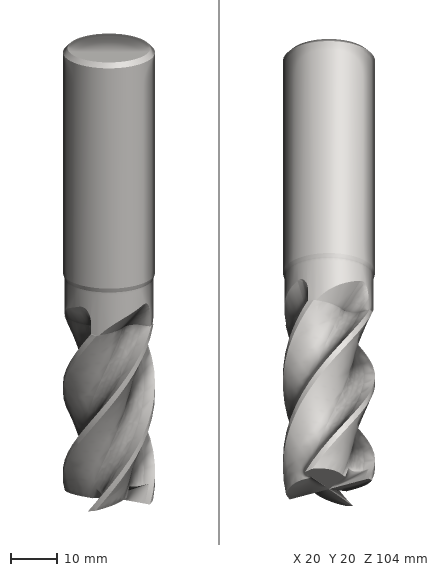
import cadquery as cq
import math

total_length = 104.0
cutter_length = 41.0
neck_top = 51.0
shank_bottom = 52.0

tool_radius = 10.0
neck_radius = 9.7
shank_chamfer = 1.0

flute_count = 4
pitch_angle = 360.0 / flute_count
first_edge_angle = -90.0
land_angle = 8.5
rake_foot_radius = 7.6
floor_end_radius = 5.5
floor_end_angle = 31.0

helix_angle = 38.0
lead = 2 * math.pi * tool_radius / math.tan(math.radians(helix_angle))
total_twist = 360.0 * cutter_length / lead

runout_height = 10.0
runout_angle = helix_angle

end_relief_angle = 13.0
gash_radius = 8.7
gash_slope = 28.0
gash_opening = 22.0
gash_rake = math.degrees(math.atan(2 * math.pi * gash_radius / lead))

clear_reach = 2 * tool_radius


def tangent(angle):
    return math.tan(math.radians(angle))


def polar(radius, angle):
    """Point at a radius and an angle in degrees."""
    return radius * math.cos(math.radians(angle)), radius * math.sin(math.radians(angle))


def edge_angles(start):
    """Angles of all the cutting edges, counted clockwise from the first one."""
    return [start - i * pitch_angle for i in range(flute_count)]


def draw_flute(outline, edge_angle):
    """From a cutting edge: radial rake face, hollow floor and convex clearance, ending at the next land."""
    rake_foot = polar(rake_foot_radius, edge_angle)
    floor_end = polar(floor_end_radius, edge_angle - floor_end_angle)
    land_end = polar(tool_radius, edge_angle - pitch_angle + land_angle)
    return (
        outline.lineTo(*rake_foot)
        .tangentArcPoint(floor_end, relative=False)
        .tangentArcPoint(land_end, relative=False)
    )


def make_end_relief(edge_angle):
    """Wedge under one quarter of the end face, rising away from the cutting edge."""
    return (
        cq.Workplane("YZ")
        .polyline([(0, 0), (clear_reach, 0), (clear_reach, clear_reach * tangent(end_relief_angle))])
        .close()
        .extrude(clear_reach)
        .rotate((0, 0, 0), (0, 0, 1), edge_angle)
    )


def make_gash(edge_angle):
    """Wedge opening out along the end cutting edge: flat rake wall, floor rising outwards."""
    return (
        cq.Workplane("XY")
        .polyline([(0, 0), (clear_reach, 0), (clear_reach, -clear_reach * tangent(gash_opening))])
        .close()
        .extrude(-clear_reach)
        .rotate((0, 0, 0), (0, 1, 0), -gash_slope)
        .rotate((0, 0, 0), (1, 0, 0), -gash_rake)
        .rotate((0, 0, 0), (0, 0, 1), edge_angle)
    )


def make_cutter():
    """Twisted four-flute cutter with relieved and gashed end teeth."""
    outline = cq.Workplane("XY").moveTo(*polar(tool_radius, first_edge_angle))
    for edge_angle in edge_angles(first_edge_angle):
        next_edge_angle = edge_angle - pitch_angle
        land_middle = polar(tool_radius, next_edge_angle + land_angle / 2)
        next_edge = polar(tool_radius, next_edge_angle)
        outline = draw_flute(outline, edge_angle).threePointArc(land_middle, next_edge)
    body = outline.close().twistExtrude(cutter_length, total_twist)
    for edge_angle in edge_angles(first_edge_angle):
        body = body.cut(make_end_relief(edge_angle))
        body = body.cut(make_gash(edge_angle))
    return body


def make_runout(edge_angle):
    """Flute section at the top of the cutter, carried in a straight line up and outwards."""
    outline = cq.Workplane("XY").moveTo(*polar(tool_radius, edge_angle))
    outline = (
        draw_flute(outline, edge_angle)
        .lineTo(*polar(clear_reach, edge_angle - pitch_angle + land_angle))
        .lineTo(*polar(clear_reach * math.sqrt(2), edge_angle - pitch_angle / 2))
        .lineTo(*polar(clear_reach, edge_angle))
        .close()
    )
    section = cq.Face.makeFromWires(outline.val())
    outward_shift = polar(runout_height * tangent(runout_angle), edge_angle)
    runout = cq.Solid.extrudeLinear(section, cq.Vector(*outward_shift, runout_height))
    return cq.Workplane(runout).translate((0, 0, cutter_length))


def make_shank():
    """Plain shank with a slightly thinner neck, into which the flutes run out."""
    body = (
        cq.Workplane("XZ")
        .moveTo(0, cutter_length)
        .lineTo(neck_radius, cutter_length)
        .lineTo(neck_radius, neck_top)
        .lineTo(tool_radius, shank_bottom)
        .lineTo(tool_radius, total_length - shank_chamfer)
        .lineTo(tool_radius - shank_chamfer, total_length)
        .lineTo(0, total_length)
        .close()
        .revolve(360, (0, 0, 0), (0, 1, 0))
    )
    for edge_angle in edge_angles(first_edge_angle + total_twist):
        body = body.cut(make_runout(edge_angle))
    return body


cutter = make_cutter()
shank = make_shank()
result = cq.Compound.makeCompound([shank.solids().val(), cutter.solids().val()])